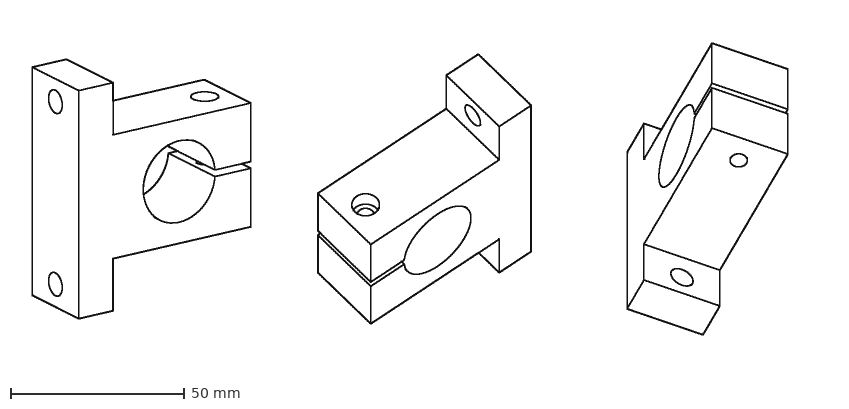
import cadquery as cq

width = 24.0
depth = 60.0
height = 70.0

flange_thickness = 12.0
block_height = 38.0

bore_diameter = 25.0
bore_y = 35.0
slit_width = 2.0

mount_hole_diameter = 7.0
mount_hole_spacing = 56.0

screw_y = 52.0
screw_diameter = 5.0
head_diameter = 8.0
head_depth = 5.0


def centred_box(length_y, size_z, start_y=0.0):
    """Box across the full width, centred on Z, running from start_y along +Y."""
    box = cq.Workplane("XY").box(width, length_y, size_z, centered=(True, False, True))
    return box.translate((0, start_y, 0))


def make_body():
    """T-shaped flange and clamp block."""
    return centred_box(flange_thickness, height).union(centred_box(depth, block_height))


def cut_shaft_clamp(body):
    """Shaft bore along X, opened to the free end by the slit."""
    bore = (
        cq.Workplane("YZ")
        .center(bore_y, 0)
        .circle(bore_diameter / 2)
        .extrude(width / 2, both=True)
    )
    slit = centred_box(depth - bore_y, slit_width, bore_y)
    return body.cut(bore).cut(slit)


def cut_mount_holes(body):
    """Two through holes along Y near the ends of the flange."""
    holes = (
        cq.Workplane("XZ")
        .pushPoints([(0, -mount_hole_spacing / 2), (0, mount_hole_spacing / 2)])
        .circle(mount_hole_diameter / 2)
        .extrude(-flange_thickness)
    )
    return body.cut(holes)


def cut_clamp_screw(body):
    """Counterbored through hole along Z, entered from the top of the block."""
    top = cq.Workplane("XY", origin=(0, screw_y, block_height / 2))
    shank = top.circle(screw_diameter / 2).extrude(-block_height)
    head = top.circle(head_diameter / 2).extrude(-head_depth)
    return body.cut(shank).cut(head)


result = cut_clamp_screw(cut_mount_holes(cut_shaft_clamp(make_body())))